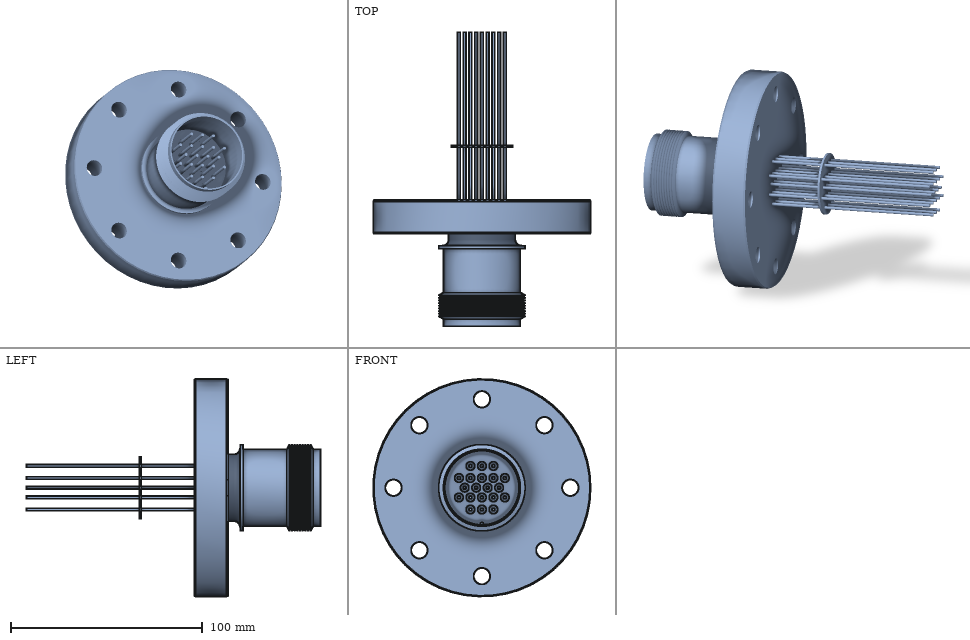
import cadquery as cq


FLANGE_DIAMETER = 113.5
FLANGE_THICKNESS = 17.8
RIM_BEVEL_LENGTH = 0.9
RIM_BEVEL_DEPTH = 0.5
BOLT_COUNT = 8
BOLT_CIRCLE_DIAMETER = 92.1
BOLT_HOLE_DIAMETER = 8.5

SHELL_LENGTH = 48.1
SHELL_RADIUS = 20.1
BORE_RADIUS = 19.3
BORE_DEPTH = 27.9
NECK_RADIUS = 17.5
NECK_LENGTH = 3.0
NECK_FILLET = 2.9
COLLAR_RADIUS = 22.5
COLLAR_START = 6.1
COLLAR_THICKNESS = 1.7

KEY_DIAMETER = 1.8
KEY_AXIS_RADIUS = 19.0
KEY_LENGTH = 3.4
KEY_SETBACK = 1.5

THREAD_START = 30.5
THREAD_END = 44.3
THREAD_CREST_RADIUS = 22.5
THREAD_COUNT = 9
THREAD_PITCH = (THREAD_END - THREAD_START) / (THREAD_COUNT + 1)
THREAD_ROOT_RADIUS = (THREAD_CREST_RADIUS + SHELL_RADIUS) / 2

OVERALL_LENGTH = 153.3
WIRE_LENGTH = OVERALL_LENGTH - FLANGE_THICKNESS - SHELL_LENGTH
CONTACT_DIAMETER = 1.5
PIN_LENGTH = 20.7
BEAD_DIAMETER = 4.5
BEAD_RECESS = 0.2
CONTACT_PITCH = 6.0
INNER_ROW_HEIGHT = 5.0
OUTER_ROW_HEIGHT = 11.3
CONTACT_ROWS = [
    (OUTER_ROW_HEIGHT, 3),
    (INNER_ROW_HEIGHT, 5),
    (0, 4),
    (-INNER_ROW_HEIGHT, 5),
    (-OUTER_ROW_HEIGHT, 3),
]

SPACER_DIAMETER = 32.2
SPACER_THICKNESS = 1.0
SPACER_GAP = 27.5


def cylinders(points, diameter, y_start, y_end):
    """Cylinders along Y between two Y positions, one at each (x, z) point."""
    plane = cq.Workplane("XZ", origin=(0, y_end, 0))
    return plane.pushPoints(points).circle(diameter / 2).extrude(y_end - y_start)


def contact_points():
    points = []
    for height, count in CONTACT_ROWS:
        for i in range(count):
            points.append(((i - (count - 1) / 2) * CONTACT_PITCH, height))
    return points


def make_flange():
    radius = FLANGE_DIAMETER / 2
    bevelled_radius = radius - RIM_BEVEL_DEPTH
    flange = (
        cq.Workplane("XY")
        .lineTo(bevelled_radius, 0)
        .lineTo(radius, RIM_BEVEL_LENGTH)
        .lineTo(radius, FLANGE_THICKNESS - RIM_BEVEL_LENGTH)
        .lineTo(bevelled_radius, FLANGE_THICKNESS)
        .lineTo(0, FLANGE_THICKNESS)
        .close()
        .revolve(360, (0, 0, 0), (0, 1, 0))
    )
    bolt_holes = (
        cq.Workplane("XZ")
        .polarArray(BOLT_CIRCLE_DIAMETER / 2, 0, 360, BOLT_COUNT)
        .circle(BOLT_HOLE_DIAMETER / 2)
        .extrude(-FLANGE_THICKNESS)
    )
    return flange.cut(bolt_holes)


def make_shell():
    fillet_radius = NECK_RADIUS + NECK_FILLET
    fillet_end = NECK_LENGTH + NECK_FILLET
    arc_offset = NECK_FILLET * (1 - 0.5 ** 0.5)
    arc_middle = (NECK_RADIUS + arc_offset, -(fillet_end - arc_offset))
    collar_end = COLLAR_START + COLLAR_THICKNESS

    profile = (
        cq.Workplane("XY")
        .lineTo(NECK_RADIUS, 0)
        .lineTo(NECK_RADIUS, -NECK_LENGTH)
        .threePointArc(arc_middle, (fillet_radius, -fillet_end))
        .lineTo(fillet_radius, -COLLAR_START)
        .lineTo(COLLAR_RADIUS, -COLLAR_START)
        .lineTo(COLLAR_RADIUS, -collar_end)
        .lineTo(SHELL_RADIUS, -collar_end)
        .lineTo(SHELL_RADIUS, -THREAD_START)
    )
    for i in range(THREAD_COUNT):
        crest = THREAD_START + (i + 1) * THREAD_PITCH
        if i > 0:
            profile = profile.lineTo(THREAD_ROOT_RADIUS, -(crest - THREAD_PITCH / 2))
        profile = profile.lineTo(THREAD_CREST_RADIUS, -crest)
    return (
        profile.lineTo(SHELL_RADIUS, -THREAD_END)
        .lineTo(SHELL_RADIUS, -SHELL_LENGTH)
        .lineTo(BORE_RADIUS, -SHELL_LENGTH)
        .lineTo(BORE_RADIUS, BORE_DEPTH - SHELL_LENGTH)
        .lineTo(0, BORE_DEPTH - SHELL_LENGTH)
        .close()
        .revolve(360, (0, 0, 0), (0, 1, 0))
    )


def make_key():
    start = KEY_SETBACK - SHELL_LENGTH
    return cylinders([(0, -KEY_AXIS_RADIUS)], KEY_DIAMETER, start, start + KEY_LENGTH)


def make_spacer():
    start = FLANGE_THICKNESS + SPACER_GAP
    return cylinders([(0, 0)], SPACER_DIAMETER, start, start + SPACER_THICKNESS)


bore_floor = BORE_DEPTH - SHELL_LENGTH
contacts = contact_points()
bead_recesses = cylinders(contacts, BEAD_DIAMETER, bore_floor, bore_floor + BEAD_RECESS)
contact_rods = cylinders(
    contacts,
    CONTACT_DIAMETER,
    bore_floor - PIN_LENGTH,
    FLANGE_THICKNESS + WIRE_LENGTH,
)

result = (
    make_flange()
    .union(make_shell())
    .cut(bead_recesses)
    .union(make_key())
    .union(make_spacer())
    .union(contact_rods)
)